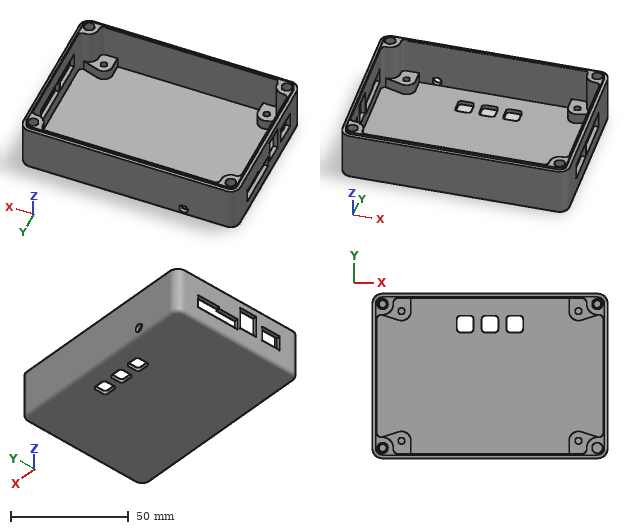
import cadquery as cq
import math

length = 100
width = 70
height = 24
wall = 2
floor = 2
corner_radius = 4.5
bottom_radius = 2

lip_inset = 1.5
lip_height = 1

post_x = length / 2 - corner_radius
post_y = width / 2 - corner_radius
post_radius = 4.5
post_blend = 2
insert_diameter = 4.5
insert_depth = 6
screw_diameter = 3.2
screw_depth = 16

standoff_x = 37.5
standoff_y = 27.5
standoff_radius = 4
standoff_height = 5
pilot_diameter = 2.8

window_size = 7
window_radius = 1.5
window_pitch = 10.5
window_y = 22
window_count = 3

port_bottom = 8.6
port_top = 16.1

slot_start = 0.5
slot_step = 11
slot_end = 23
slot_bottom = 7.1
slot_low_top = 12.6
slot_high_top = 13.6
tall_start = -10
tall_end = -1
tall_top = 19.6
square_start = -23.5
square_end = -13.5

wide_start = -4
wide_end = 16
narrow_start = -20
narrow_end = -5

cable_diameter = 4
cable_x = -25.6
cable_z = floor + cable_diameter / 2

corners = [(sx, sy) for sx in (-1, 1) for sy in (-1, 1)]
cavity_x = length / 2 - wall
cavity_y = width / 2 - wall


def rounded_block(size_x, size_y, bottom, top, radius):
    """Upright block centred on the Z axis with rounded vertical edges."""
    block = cq.Workplane("XY").workplane(offset=bottom).rect(size_x, size_y).extrude(top - bottom)
    return block.edges("|Z").fillet(radius)


def make_body():
    """Outer block with a rounded bottom edge and the stepped lip on top."""
    shoulder = height - lip_height
    base = rounded_block(length, width, 0, shoulder, corner_radius)
    base = base.faces("<Z").edges().fillet(bottom_radius)
    lip_length = length - 2 * lip_inset
    lip_width = width - 2 * lip_inset
    lip = rounded_block(lip_length, lip_width, shoulder, height, corner_radius - lip_inset)
    return base.union(lip)


def make_cavity():
    """Inner space: a rectangle less the corner posts, blended where post and wall meet."""
    depth = height - floor
    plane = cq.Workplane("XY").workplane(offset=floor)
    cavity = plane.rect(2 * cavity_x, 2 * cavity_y).extrude(depth)
    for sx, sy in corners:
        post = plane.center(sx * post_x, sy * post_y).circle(post_radius).extrude(depth)
        corner_x = sx * (post_x + corner_radius / 2)
        corner_y = sy * (post_y + corner_radius / 2)
        corner = plane.center(corner_x, corner_y).rect(corner_radius, corner_radius).extrude(depth)
        cavity = cavity.cut(post).cut(corner)
    for wall_faces in ("<X or >X", "<Y or >Y"):
        cavity = cavity.faces(wall_faces).edges("|Z").fillet(post_blend)
    return cavity


def make_standoff(sx, sy):
    """Standoff whose lower edge runs along the common tangent of post and standoff circles."""
    run_x = post_x - standoff_x
    run_y = post_y - standoff_y
    tilt = math.atan2(run_y, run_x) - math.asin((post_radius - standoff_radius) / math.hypot(run_x, run_y))
    inner_x = math.sin(tilt)
    inner_y = -math.cos(tilt)
    diagonal = math.sqrt(0.5) * standoff_radius
    outline = (
        cq.Workplane("XY").workplane(offset=floor)
        .moveTo(standoff_x - standoff_radius, cavity_y)
        .lineTo(standoff_x - standoff_radius, standoff_y)
        .threePointArc(
            (standoff_x - diagonal, standoff_y - diagonal),
            (standoff_x + standoff_radius * inner_x, standoff_y + standoff_radius * inner_y),
        )
        .lineTo(post_x + post_radius * inner_x, post_y + post_radius * inner_y)
        .lineTo(post_x, post_y)
        .lineTo(post_x, cavity_y)
        .close()
    )
    standoff = outline.extrude(standoff_height)
    if sx < 0:
        standoff = standoff.mirror("YZ")
    if sy < 0:
        standoff = standoff.mirror("XZ")
    return standoff


def drill(x, y, top, diameter, depth):
    """Vertical cylinder that reaches down from the given height."""
    return cq.Workplane("XY").workplane(offset=top - depth).center(x, y).circle(diameter / 2).extrude(depth)


def end_opening(side, y_min, y_max, bottom, top):
    """Rectangular opening through the end wall on the given side of X."""
    size = (2 * wall, y_max - y_min, top - bottom)
    centre = (side * length / 2, (y_min + y_max) / 2, (bottom + top) / 2)
    return cq.Workplane("XY").box(*size).translate(centre)


result = make_body().cut(make_cavity())

for sx, sy in corners:
    result = result.union(make_standoff(sx, sy))

for sx, sy in corners:
    pilot_top = floor + standoff_height
    pilot = drill(sx * standoff_x, sy * standoff_y, pilot_top, pilot_diameter, standoff_height)
    insert = drill(sx * post_x, sy * post_y, height, insert_diameter, insert_depth)
    result = result.cut(pilot).cut(insert)
    if (sx, sy) != (1, -1):
        result = result.cut(drill(sx * post_x, sy * post_y, height, screw_diameter, screw_depth))

for index in range(window_count):
    window_x = (index - (window_count - 1) / 2) * window_pitch
    window = rounded_block(window_size, window_size, 0, floor, window_radius)
    result = result.cut(window.translate((window_x, window_y, 0)))

result = result.cut(end_opening(-1, slot_start, slot_end, slot_bottom, slot_low_top))
result = result.cut(end_opening(-1, slot_step, slot_end, slot_bottom, slot_high_top))
result = result.cut(end_opening(-1, tall_start, tall_end, port_bottom, tall_top))
result = result.cut(end_opening(-1, square_start, square_end, port_bottom, port_top))

result = result.cut(end_opening(1, wide_start, wide_end, port_bottom, port_top))
result = result.cut(end_opening(1, narrow_start, narrow_end, port_bottom, port_top))

cable_plane = cq.Workplane("XZ", origin=(cable_x, cavity_y - wall / 2, cable_z))
result = result.cut(cable_plane.circle(cable_diameter / 2).extrude(-2 * wall))